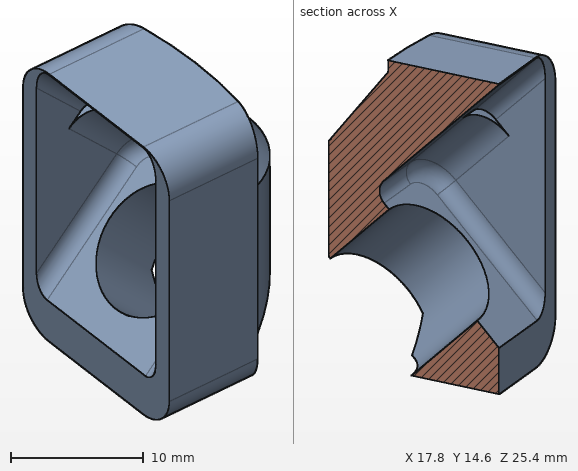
import cadquery as cq
import math

width = 17.78
height = 25.4
corner_radius = 3.18
back_depth = 9.52
side_depth = 8.48

total_depth = 14.6
boss_radius = 7.6
boss_axis_depth = total_depth - boss_radius
cone_base_height = 17.78
cone_rise_per_radius = 1.31
cone_top_radius = boss_radius - (height - cone_base_height) / cone_rise_per_radius
boss_foot_height = 8.3

slope_angle = 45.0
floor_front_height = 3.8
ceiling_front_height = 25.32
pocket_width = 14.48
mouth_corner_radius = 1.52
deep_corner_radius = 3.1
floor_fillet = 1.27
ledge_above_floor = 7.7
hole_diameter = 10.67
hole_center_height = 9.45

slope = math.radians(slope_angle)
pocket_length = (ceiling_front_height - floor_front_height) * math.sin(slope)
cutter_overrun = height


def make_body():
    """Rounded block whose back is an arc across the width."""
    crowned_block = (
        cq.Workplane("XY")
        .moveTo(-width / 2, 0)
        .lineTo(width / 2, 0)
        .lineTo(width / 2, side_depth)
        .threePointArc((0, back_depth), (-width / 2, side_depth))
        .close()
        .extrude(height)
    )
    return crowned_block.edges("|Y").fillet(corner_radius)


def make_boss():
    """Cylinder with a conical top and an inclined foot, kept from its axis backward."""
    boss = (
        cq.Workplane("YZ")
        .moveTo(0, 0)
        .lineTo(boss_radius, 0)
        .lineTo(boss_radius, cone_base_height)
        .lineTo(cone_top_radius, height)
        .lineTo(0, height)
        .close()
        .revolve(360, (0, 0, 0), (0, 1, 0))
        .translate((0, boss_axis_depth, 0))
    )
    foot_inner_height = boss_foot_height - boss_radius * math.tan(slope)
    kept_profile = (
        cq.Workplane("YZ")
        .moveTo(boss_axis_depth, foot_inner_height)
        .lineTo(total_depth, boss_foot_height)
        .lineTo(total_depth, height)
        .lineTo(boss_axis_depth, height)
        .close()
        .extrude(width / 2, both=True)
    )
    return boss.intersect(kept_profile)


def floor_workplane(rise=0.0):
    """Plane parallel to the floor: local x across, local y up the slope, normal out of the pocket."""
    floor_plane = cq.Plane(
        origin=(0, 0, floor_front_height),
        xDir=(1, 0, 0),
        normal=(0, -math.sin(slope), math.cos(slope)),
    )
    return cq.Workplane(floor_plane).workplane(offset=rise)


def pocket_cutter(rise, corner):
    """Block with rounded corners; its lower end runs out past the front face."""
    length = pocket_length + cutter_overrun
    return (
        floor_workplane(rise)
        .center(0, pocket_length - length / 2)
        .sketch()
        .rect(pocket_width, length)
        .vertices()
        .fillet(corner)
        .finalize()
        .extrude(cutter_overrun)
    )


def make_hole():
    hole_distance = (hole_center_height - floor_front_height) / math.sin(slope)
    return floor_workplane().center(0, hole_distance).circle(hole_diameter / 2).extrude(-cutter_overrun)


out_of_floor = floor_workplane().plane.zDir
deep_pocket = (
    pocket_cutter(0, deep_corner_radius)
    .faces(cq.selectors.DirectionMinMaxSelector(out_of_floor, False))
    .edges()
    .fillet(floor_fillet)
)
mouth_pocket = pocket_cutter(ledge_above_floor, mouth_corner_radius)

result = make_body().union(make_boss()).cut(deep_pocket).cut(mouth_pocket).cut(make_hole())